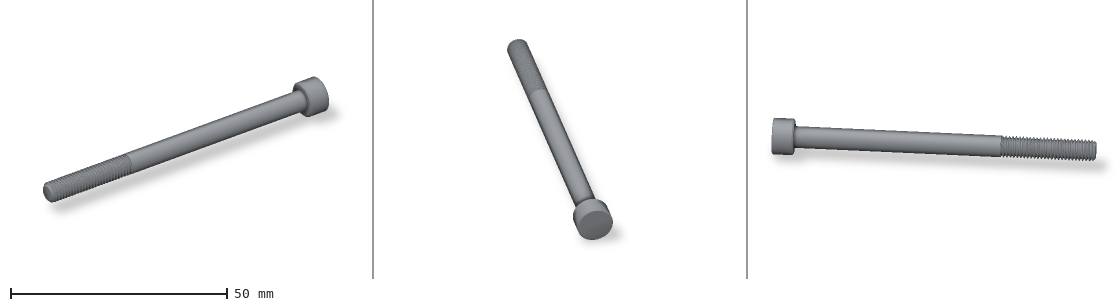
import cadquery as cq
import math

total_length = 75.0
head_diameter = 8.5
head_height = 5.0
head_top_chamfer = 0.2
head_bottom_chamfer = 0.4
shank_diameter = 5.0

thread_length = 22.0
turn_count = 27.5
thread_depth = 0.45
crest_angle = 360 / 8
root_angle = 360 / 4
root_start_angle = 50
tip_chamfer = 0.7
blank_clearance = 0.1

shank_length = total_length - head_height
plain_length = shank_length - thread_length
shank_radius = shank_diameter / 2
root_radius = shank_radius - thread_depth


def make_head():
    """Cylindrical head with chamfered rims, standing on Z = 0."""
    head = cq.Workplane("XY").circle(head_diameter / 2).extrude(head_height)
    head = head.faces(">Z").chamfer(head_top_chamfer)
    return head.faces("<Z").chamfer(head_bottom_chamfer)


def make_plain_shank():
    """Unthreaded shank hanging below Z = 0."""
    return cq.Workplane("XY").circle(shank_radius).extrude(-plain_length)


def polar_point(radius, degrees):
    """Point at the given radius and angle about the screw axis."""
    angle = math.radians(degrees)
    return (radius * math.cos(angle), radius * math.sin(angle))


def make_thread():
    """Thread swept by twisting its cross-section: root arc, spiral flank, crest arc, spiral flank."""
    half_root = root_angle / 2
    half_crest = crest_angle / 2
    flank_angle = 180 - half_root - half_crest
    flank_steps = (1 / 3, 2 / 3, 1)

    def rising_flank(fraction):
        return polar_point(root_radius + thread_depth * fraction, half_root + flank_angle * fraction)

    def falling_flank(fraction):
        return polar_point(shank_radius - thread_depth * fraction, 180 + half_crest + flank_angle * fraction)

    profile = (
        cq.Workplane("XY")
        .moveTo(*polar_point(root_radius, -half_root))
        .threePointArc(polar_point(root_radius, 0), polar_point(root_radius, half_root))
        .spline([rising_flank(step) for step in flank_steps], includeCurrent=True)
        .threePointArc(polar_point(shank_radius, 180), falling_flank(0))
        .spline([falling_flank(step) for step in flank_steps], includeCurrent=True)
        .wire()
    )
    thread = profile.twistExtrude(thread_length, 360 * turn_count)
    thread = thread.rotate((0, 0, 0), (0, 0, 1), root_start_angle)
    return thread.translate((0, 0, -shank_length))


def make_threaded_end():
    """Thread trimmed by a chamfered blank to taper the tip."""
    blank = cq.Workplane("XY").workplane(offset=-shank_length)
    blank = blank.circle(shank_radius + blank_clearance).extrude(thread_length)
    blank = blank.faces("<Z").chamfer(tip_chamfer + blank_clearance)
    return make_thread().intersect(blank)


upright_screw = make_head().union(make_plain_shank()).union(make_threaded_end())

result = upright_screw.rotate((0, 0, 0), (1, 0, 0), -90)